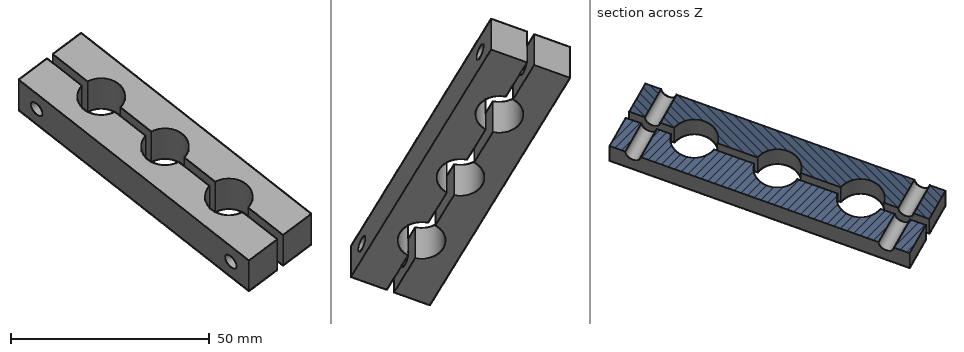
import cadquery as cq

length = 83.0
depth = 22.0
height = 12.0
gap = 2.0
jaw_depth = (depth - gap) / 2

bore_diameter = 12.0
bore_spacing = 23.0
bore_count = 3

bolt_hole_diameter = 4.15
bolt_spacing = 70.0


def make_bores():
    """Cylinders along Z that the jaws grip, in a row along X."""
    return (
        cq.Workplane("XY")
        .rarray(bore_spacing, 0.8, bore_count, 1)
        .circle(bore_diameter / 2)
        .extrude(height / 2, both=True)
    )


def make_bolt_holes():
    """Cylinders along Y that pass through both jaws."""
    return (
        cq.Workplane("XZ")
        .rarray(bolt_spacing, 0.8, 2, 1)
        .circle(bolt_hole_diameter / 2)
        .extrude(depth / 2, both=True)
    )


def make_jaw(side):
    """One half of the clamp: side is -1 for the -Y jaw, +1 for the +Y jaw."""
    center_y = side * (gap + jaw_depth) / 2
    bar = cq.Workplane("XY").box(length, jaw_depth, height).translate((0, center_y, 0))
    return bar.cut(make_bores()).cut(make_bolt_holes())


jaws = [make_jaw(side) for side in (-1, 1)]
result = cq.Compound.makeCompound([jaw.solids().val() for jaw in jaws])